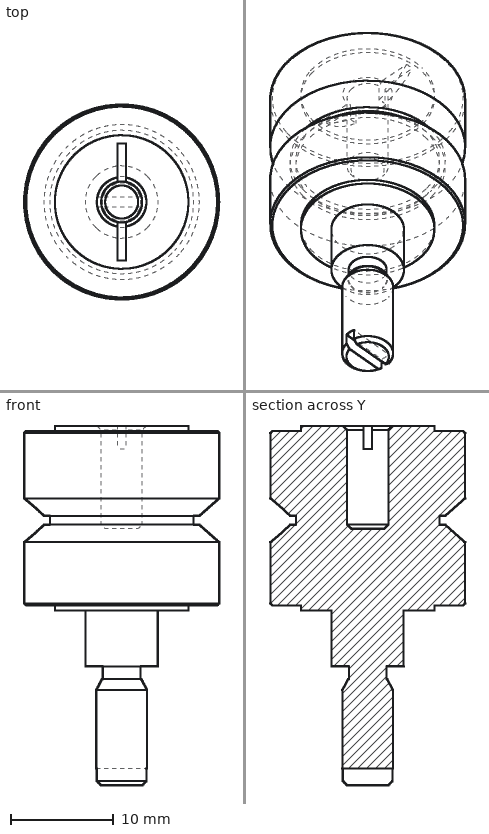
import cadquery as cq

total_height = 35.0
stud_shoulder_z = 9.28
neck_bottom_z = 10.32
collar_bottom_z = 11.6
hub_bottom_z = 17.0
hub_lip = 0.5

roller_diameter = 19.0
roller_radius = roller_diameter / 2
hub_radius = 6.5
groove_radius = 7.0
roller_nose_radius = 7.55
collar_radius = 3.55
neck_radius = 1.85
neck_cone_radius = 1.92
stud_radius = 2.5

roller_edge = 0.2
stud_tip_chamfer = 0.42
groove_top_z = 26.2
groove_bottom_z = 25.38
roller_cone_height = 1.7

bore_radius = 2.0
bore_depth = 10.0
bore_mouth_chamfer = 0.42
bore_floor_radius = 1.6

top_slot_width = 0.8
top_slot_half_length = 5.7
top_slot_depth = 2.52
stud_slot_width = 0.98
stud_slot_depth = 1.6


def make_body():
    """Revolve the stud, neck, collar, hub and both rollers about Z."""
    roller_bottom_z = hub_bottom_z + hub_lip
    roller_top_z = total_height - hub_lip
    profile = [
        (0, 0),
        (stud_radius - stud_tip_chamfer, 0),
        (stud_radius, stud_tip_chamfer),
        (stud_radius, stud_shoulder_z),
        (neck_cone_radius, neck_bottom_z),
        (neck_radius, neck_bottom_z),
        (neck_radius, collar_bottom_z),
        (collar_radius, collar_bottom_z),
        (collar_radius, hub_bottom_z),
        (hub_radius, hub_bottom_z),
        (hub_radius, roller_bottom_z),
        (roller_radius - roller_edge, roller_bottom_z),
        (roller_radius, roller_bottom_z + roller_edge),
        (roller_radius, groove_bottom_z - roller_cone_height),
        (roller_nose_radius, groove_bottom_z),
        (groove_radius, groove_bottom_z),
        (groove_radius, groove_top_z),
        (roller_nose_radius, groove_top_z),
        (roller_radius, groove_top_z + roller_cone_height),
        (roller_radius, roller_top_z - roller_edge),
        (roller_radius - roller_edge, roller_top_z),
        (hub_radius, roller_top_z),
        (hub_radius, total_height),
        (0, total_height),
    ]
    return cq.Workplane("XZ").polyline(profile).close().revolve(360, (0, 0), (0, 1))


def make_bore():
    """Blind bore with a chamfered mouth and a tapered edge around its floor."""
    floor_z = total_height - bore_depth
    profile = [
        (0, floor_z),
        (bore_floor_radius, floor_z),
        (bore_radius, floor_z + bore_radius - bore_floor_radius),
        (bore_radius, total_height - bore_mouth_chamfer),
        (bore_radius + bore_mouth_chamfer, total_height),
        (0, total_height),
    ]
    return cq.Workplane("XZ").polyline(profile).close().revolve(360, (0, 0), (0, 1))


def make_top_slot():
    """Slot along Y in the top face, with an arc-shaped floor."""
    return (
        cq.Workplane("YZ")
        .moveTo(-top_slot_half_length, total_height)
        .threePointArc((0, total_height - top_slot_depth), (top_slot_half_length, total_height))
        .close()
        .extrude(top_slot_width / 2, both=True)
    )


def make_stud_slot():
    """Straight slot along X across the stud tip."""
    return cq.Workplane("XY").box(
        2 * stud_radius, stud_slot_width, stud_slot_depth, centered=(True, True, False)
    )


result = make_body().cut(make_bore()).cut(make_top_slot()).cut(make_stud_slot())